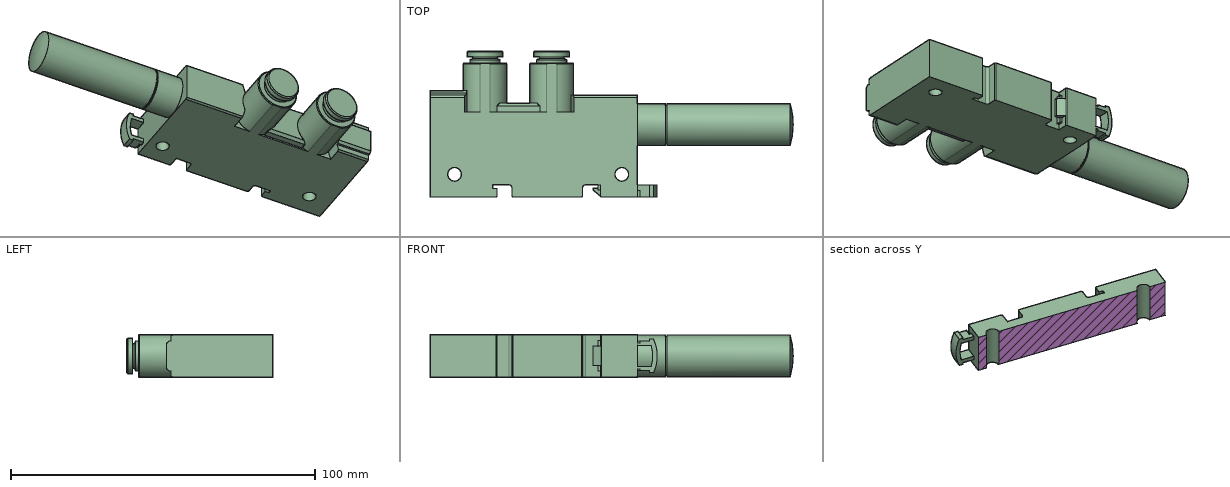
import cadquery as cq
import math

thickness = 14.0
half_thickness = thickness / 2
body_length = 68.1
body_top = 33.5
top_chamfer_drop = 0.8
top_chamfer_inset = 0.3

rib_top = 35.0
rib_half_width = 4.9
rib_chamfer = 0.8
rib_length = 12.1

fitting_centres = (18.0, 39.9)
fitting_radius = 7.2
fitting_top = 44.1
fitting_rim = 0.3
collar_radius = 10.0 / 2
collar_height = 1.0
neck_radius = 8.1 / 2
flare_height = 0.5
flange_radius = 11.8 / 2
flange_thickness = 2.0
flange_chamfer = 0.4
overall_height = 48.1

recess_floor = 28.0
recess_left = 11.2
recess_right = 47.2
recess_wall_lean = 0.9
recess_wall_depth = 3.0

bridge_left = 21.9
bridge_right = 36.0
bridge_top = 30.9
bridge_half_width = 6.4
bridge_chamfer = 0.9

hole_diameter = 4.4
hole_centres = ((8.0, 7.5), (62.95, 7.5))

slot_depth = 4.0
slot_fillet = 0.9
slot_mouth_chamfer = 0.35
hooked_slot_left = 22.0
hooked_slot_right = 26.8
undercut_left = 20.6
undercut_floor = 2.9
clip_slot_left = 50.1
clip_slot_right = 55.9

nose_tip = 53.5
nose_top = 3.0
nose_flat = 0.7
nose_bottom = slot_mouth_chamfer
nose_half_width = 3.2
crossbar_left = 55.1
crossbar_bottom = 2.3
crossbar_half_width = 5.0
arm_inner = 3.45
arm_outer = 4.85
loop_shoulder = 72.0
loop_half_width = 5.5
loop_corner = 73.4
loop_end = 74.6
window_corner = 72.6
window_end = 73.1
arm_notch_length = 0.8
arm_notch_height = 2.2
arm_notch_depth = 0.6

silencer_radius = 13.8 / 2
silencer_axis = 23.85
silencer_shoulder = 118.3
silencer_tip = 119.3
silencer_groove_start = 77.3
silencer_groove_width = 0.45
silencer_groove_radius = 12.8 / 2

embed = 1.0


def box(x_range, y_range, half_depth):
    """Block symmetric about Z = 0."""
    length = x_range[1] - x_range[0]
    width = y_range[1] - y_range[0]
    block = cq.Workplane("XY").box(length, width, 2 * half_depth, centered=(False, False, True))
    return block.translate((x_range[0], y_range[0], 0))


def make_body():
    """Block with slightly chamfered upper edges."""
    upper_half = [
        (0, half_thickness),
        (body_top - top_chamfer_drop, half_thickness),
        (body_top, half_thickness - top_chamfer_inset),
    ]
    lower_half = [(y, -z) for y, z in reversed(upper_half)]
    return cq.Workplane("YZ").polyline(upper_half + lower_half).close().extrude(body_length)


def make_rib():
    """Chamfered rib on the upper face."""
    rib = box((0, rib_length), (recess_floor - embed, rib_top), rib_half_width)
    return rib.faces(">Y").edges("|X").chamfer(rib_chamfer)


def make_recess():
    """Port recess, open at the top, narrowing from both large faces to mid-thickness."""
    inner_z = half_thickness - recess_wall_depth
    inner_left = recess_left + recess_wall_lean
    inner_right = recess_right - recess_wall_lean
    outline = [
        (recess_left, half_thickness),
        (inner_left, inner_z),
        (inner_left, -inner_z),
        (recess_left, -half_thickness),
        (recess_right, -half_thickness),
        (inner_right, -inner_z),
        (inner_right, inner_z),
        (recess_right, half_thickness),
    ]
    recess = cq.Workplane("XZ").polyline(outline).close().extrude(recess_floor - rib_top - embed)
    return recess.translate((0, recess_floor, 0))


def make_bridge():
    """Bridge between the fittings, chamfered all round its top."""
    bridge = box((bridge_left, bridge_right), (recess_floor - embed, bridge_top), bridge_half_width)
    return bridge.faces(">Y").chamfer(bridge_chamfer)


def make_fitting(centre):
    """Fitting barrel with collar, neck and release flange, flattened to the body thickness."""
    flange_bottom = overall_height - flange_thickness
    collar_top = fitting_top + collar_height
    profile = [
        (0, recess_floor - embed),
        (fitting_radius, recess_floor - embed),
        (fitting_radius, fitting_top - fitting_rim),
        (fitting_radius - fitting_rim, fitting_top),
        (collar_radius, fitting_top),
        (collar_radius, collar_top),
        (neck_radius, collar_top + flare_height),
        (neck_radius, flange_bottom),
        (flange_radius, flange_bottom),
        (flange_radius, overall_height - flange_chamfer),
        (flange_radius - flange_chamfer, overall_height),
        (0, overall_height),
    ]
    fitting = cq.Workplane("XY").polyline(profile).close().revolve(360, (0, 0, 0), (0, 1, 0))
    flats = box((-fitting_radius, fitting_radius), (0, overall_height), half_thickness)
    return fitting.intersect(flats).translate((centre, 0, 0))


def make_slot(left, right, filleted_side):
    """Rail slot with chamfered mouth and one rounded inner corner."""
    slot = box((left, right), (-embed, slot_depth), half_thickness + embed)
    slot = slot.faces(">Y").edges(filleted_side).fillet(slot_fillet)
    mouth = [
        (left - slot_mouth_chamfer, 0),
        (left, slot_mouth_chamfer),
        (right, slot_mouth_chamfer),
        (right + slot_mouth_chamfer, 0),
    ]
    flare = cq.Workplane("XY").polyline(mouth).close().extrude(half_thickness, both=True)
    return slot.union(flare)


def make_clip_nose():
    """Latch nose and the crossbar behind it."""
    nose_profile = [
        (nose_tip, nose_top),
        (nose_tip, nose_top - nose_flat),
        (clip_slot_right, nose_bottom),
        (clip_slot_right + embed, nose_bottom),
        (clip_slot_right + embed, nose_top),
    ]
    nose = cq.Workplane("XY").polyline(nose_profile).close().extrude(nose_half_width, both=True)
    crossbar = box(
        (crossbar_left, clip_slot_right + embed), (crossbar_bottom, slot_depth), crossbar_half_width
    )
    return nose.union(crossbar)


def make_pull_loop():
    """Two arms joined by a bowed handle."""
    start = body_length - embed
    outline = (
        cq.Workplane("XZ")
        .moveTo(start, -arm_outer)
        .lineTo(loop_shoulder, -arm_outer)
        .lineTo(loop_shoulder, -loop_half_width)
        .lineTo(loop_corner, -loop_half_width)
        .threePointArc((loop_end, 0), (loop_corner, loop_half_width))
        .lineTo(loop_shoulder, loop_half_width)
        .lineTo(loop_shoulder, arm_outer)
        .lineTo(start, arm_outer)
        .close()
        .extrude(-slot_depth)
    )
    window = (
        cq.Workplane("XZ")
        .moveTo(body_length, -arm_inner)
        .lineTo(window_corner, -arm_inner)
        .threePointArc((window_end, 0), (window_corner, arm_inner))
        .lineTo(body_length, arm_inner)
        .close()
        .extrude(-slot_depth)
    )
    loop = outline.cut(window)
    notch = box(
        (body_length, body_length + arm_notch_length), (0, arm_notch_height), arm_notch_depth
    )
    for side in (-1, 1):
        loop = loop.cut(notch.translate((0, 0, side * arm_outer)))
    return loop


def make_silencer():
    """Round silencer with a domed end and a narrow groove."""
    groove_end = silencer_groove_start + silencer_groove_width
    dome_height = silencer_tip - silencer_shoulder
    dome_radius = (silencer_radius**2 + dome_height**2) / (2 * dome_height)
    dome_mid_radius = silencer_radius / 2
    dome_mid_x = silencer_tip - dome_radius + math.sqrt(dome_radius**2 - dome_mid_radius**2)
    return (
        cq.Workplane("XY")
        .moveTo(body_length - embed, 0)
        .lineTo(body_length - embed, silencer_radius)
        .lineTo(silencer_groove_start, silencer_radius)
        .lineTo(silencer_groove_start, silencer_groove_radius)
        .lineTo(groove_end, silencer_groove_radius)
        .lineTo(groove_end, silencer_radius)
        .lineTo(silencer_shoulder, silencer_radius)
        .threePointArc((dome_mid_x, dome_mid_radius), (silencer_tip, 0))
        .close()
        .revolve(360, (0, 0, 0), (1, 0, 0))
        .translate((0, silencer_axis, 0))
    )


result = make_body().union(make_rib()).cut(make_recess()).union(make_bridge())
for fitting_centre in fitting_centres:
    result = result.union(make_fitting(fitting_centre))

mounting_holes = (
    cq.Workplane("XY").pushPoints(hole_centres).circle(hole_diameter / 2).extrude(half_thickness, both=True)
)
undercut = box((undercut_left, hooked_slot_left + embed), (undercut_floor, slot_depth), half_thickness)
result = result.cut(mounting_holes).cut(undercut)
result = result.cut(make_slot(hooked_slot_left, hooked_slot_right, ">X"))
result = result.cut(make_slot(clip_slot_left, clip_slot_right, "<X"))

result = result.union(make_clip_nose()).union(make_pull_loop()).union(make_silencer())